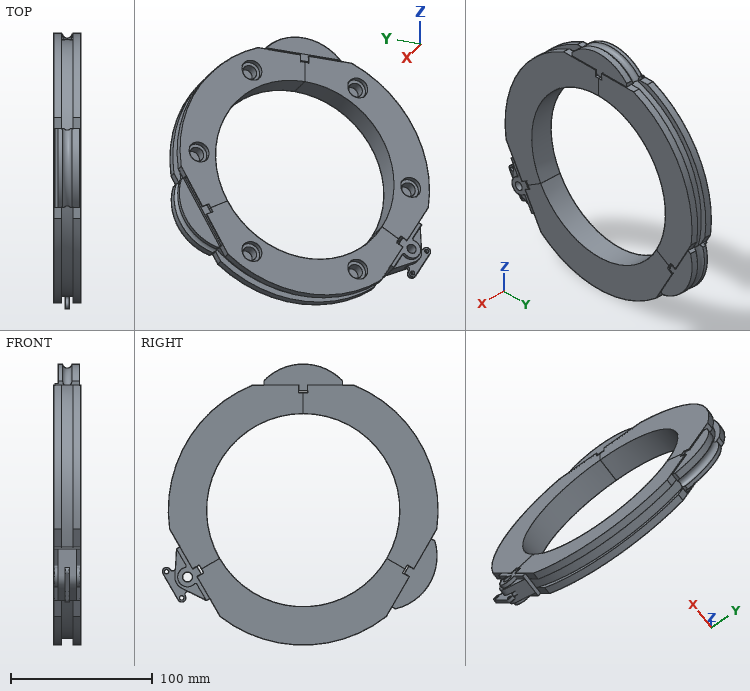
import cadquery as cq
import math

SEGMENT_COUNT = 3
SEGMENT_ANGLE = 360 / SEGMENT_COUNT
SEGMENT_HOLE_ANGLES = (-30.0, 30.0)

RING_THICKNESS = 19.0
RING_RADIUS = 95.0
BORE_RADIUS = 67.8
GROOVE_FLOOR_RADIUS = 90.4
GROOVE_WIDTH = 8.0
FLAT_HEIGHT = 88.0

BOLT_CIRCLE_RADIUS = 80.5
COUNTERBORE_DIAMETER = 15.0
COUNTERBORE_DEPTH = 4.0
BOLT_HOLE_DIAMETER = 10.3
BOLT_HOLE_DEPTH = 11.9

KEYWAY_WIDTH = 6.3
KEYWAY_DEPTH = 5.3
KEY_WIDTH = 6.1

PAD_THICKNESS = 17.5
PAD_WIDTH = 55.4
PAD_TOP = 102.9
PAD_END_HEIGHT = 3.0
PAD_KEY_LENGTH = 4.2
PAD_STEP_HEIGHT = 1.2
PAD_STEP_DEPTH = 2.4
PAD_GROOVE_RADIUS = 3.4
PAD_GROOVE_DEPTH = 2.8

BRACKET_THICKNESS = 18.4
BRACKET_WIDTH = 42.1
BRACKET_BASE_HEIGHT = 2.8
BRACKET_KEY_LENGTH = 3.5
PIVOT_HEIGHT = 94.0
PIVOT_DIAMETER = 6.7
BOSS_RADIUS = 7.0
BOSS_FILLET = 1.0
WEB_TIP_RADIUS = 8.9
WEB_THICKNESS = 12.7
LUG_THICKNESS = 3.0
LUG_HEIGHT = 104.8
LUG_OFFSET = 10.7
LUG_RADIUS = 3.0
LUG_HOLE_DIAMETER = 3.0
LUG_NECK_FILLET = 2.0


def plate(sketch, thickness):
    """Extrude a YZ outline symmetrically about the middle plane X = 0."""
    return sketch.extrude(thickness / 2, both=True)


def block(width, bottom, top, thickness):
    """Box centred on the radial Z axis, between two radial heights."""
    centre = (0, 0, (bottom + top) / 2)
    return cq.Workplane("XY").box(thickness, width, top - bottom).translate(centre)


def turn(body, angle):
    """Turn a body about the ring axis."""
    return body.rotate((0, 0, 0), (1, 0, 0), angle)


def grooved_ring():
    ring = plate(cq.Workplane("YZ").circle(RING_RADIUS).circle(BORE_RADIUS), RING_THICKNESS)
    groove = plate(cq.Workplane("YZ").circle(RING_RADIUS).circle(GROOVE_FLOOR_RADIUS), GROOVE_WIDTH)
    return ring.cut(groove)


def joint_cut():
    """Material removed at a joint: the flat and the keyway below it."""
    flat = block(2 * RING_RADIUS, FLAT_HEIGHT, RING_RADIUS, RING_THICKNESS)
    keyway = block(KEYWAY_WIDTH, FLAT_HEIGHT - KEYWAY_DEPTH, FLAT_HEIGHT, RING_THICKNESS)
    return flat.union(keyway)


def sector():
    """Wedge centred on +Z that spans one segment."""
    half_angle = math.radians(SEGMENT_ANGLE / 2)
    reach = 2 * RING_RADIUS
    side = reach * math.sin(half_angle)
    height = reach * math.cos(half_angle)
    outline = cq.Workplane("YZ").polyline([(0, 0), (side, height), (0, reach), (-side, height)]).close()
    return plate(outline, RING_THICKNESS)


def bolt_hole():
    """Blind counterbored hole entering from the -X face."""
    face = cq.Workplane("YZ", origin=(-RING_THICKNESS / 2, 0, BOLT_CIRCLE_RADIUS))
    counterbore = face.circle(COUNTERBORE_DIAMETER / 2).extrude(COUNTERBORE_DEPTH)
    hole = face.circle(BOLT_HOLE_DIAMETER / 2).extrude(BOLT_HOLE_DEPTH)
    return counterbore.union(hole)


def ring_segment():
    segment = grooved_ring().intersect(sector())
    for side in (-1, 1):
        segment = segment.cut(turn(joint_cut(), side * SEGMENT_ANGLE / 2))
    for angle in SEGMENT_HOLE_ANGLES:
        segment = segment.cut(turn(bolt_hole(), angle))
    return segment


def pad():
    half_width = PAD_WIDTH / 2
    end_top = FLAT_HEIGHT + PAD_END_HEIGHT
    rise = PAD_TOP - end_top
    crown_radius = (half_width**2 + rise**2) / (2 * rise)
    crown_centre = PAD_TOP - crown_radius

    outline = (
        cq.Workplane("YZ")
        .moveTo(-half_width, FLAT_HEIGHT)
        .lineTo(-half_width, end_top)
        .threePointArc((0, PAD_TOP), (half_width, end_top))
        .lineTo(half_width, FLAT_HEIGHT)
        .close()
    )
    body = plate(outline, PAD_THICKNESS)

    step = block(PAD_WIDTH, FLAT_HEIGHT + PAD_STEP_HEIGHT, PAD_TOP, PAD_STEP_DEPTH)
    body = body.cut(step.translate(((PAD_STEP_DEPTH - PAD_THICKNESS) / 2, 0, 0)))

    groove_path_radius = crown_radius - PAD_GROOVE_DEPTH + PAD_GROOVE_RADIUS
    groove = cq.Solid.makeTorus(
        groove_path_radius, PAD_GROOVE_RADIUS, cq.Vector(0, 0, crown_centre), cq.Vector(1, 0, 0)
    )
    body = body.cut(cq.Workplane(groove))

    key = block(KEY_WIDTH, FLAT_HEIGHT - PAD_KEY_LENGTH, FLAT_HEIGHT, PAD_THICKNESS)
    return body.union(key)


def web_side_angle(base_top):
    """Angle from +Z to the normal of a web side, which runs from a base corner tangent to the tip."""
    half_width = BRACKET_WIDTH / 2
    drop = PIVOT_HEIGHT - base_top
    corner_angle = math.pi / 2 + math.atan2(drop, half_width)
    return corner_angle - math.acos(WEB_TIP_RADIUS / math.hypot(half_width, drop))


def bracket_web(base_top):
    """Triangular web whose sides are tangent to its rounded tip."""
    half_width = BRACKET_WIDTH / 2
    tangent_angle = web_side_angle(base_top)
    tangent_y = WEB_TIP_RADIUS * math.sin(tangent_angle)
    tangent_z = PIVOT_HEIGHT + WEB_TIP_RADIUS * math.cos(tangent_angle)
    outline = (
        cq.Workplane("YZ")
        .moveTo(-half_width, base_top)
        .lineTo(-tangent_y, tangent_z)
        .threePointArc((0, PIVOT_HEIGHT + WEB_TIP_RADIUS), (tangent_y, tangent_z))
        .lineTo(half_width, base_top)
        .close()
    )
    return plate(outline, WEB_THICKNESS)


def bracket_boss(base_top):
    """Base plate and full-width pivot boss, filleted where they meet."""
    base = block(BRACKET_WIDTH, FLAT_HEIGHT, base_top, BRACKET_THICKNESS)
    boss = plate(cq.Workplane("YZ").center(0, PIVOT_HEIGHT).circle(BOSS_RADIUS), BRACKET_THICKNESS)
    below_flat = block(2 * BOSS_RADIUS, FLAT_HEIGHT - BOSS_RADIUS, FLAT_HEIGHT, BRACKET_THICKNESS)
    body = base.union(boss.cut(below_flat))
    corner = math.sqrt(BOSS_RADIUS**2 - (PIVOT_HEIGHT - base_top) ** 2)
    for side in (-1, 1):
        body = body.edges(cq.NearestToPointSelector((0, side * corner, base_top))).fillet(BOSS_FILLET)
    return body


def bracket_lugs(base_top):
    """Thin plate that carries two holed lugs beyond the web tip."""
    angle = web_side_angle(base_top)
    normal = cq.Vector(math.sin(angle), math.cos(angle), 0)
    along = cq.Vector(math.cos(angle), -math.sin(angle), 0)

    pivot = cq.Vector(0, PIVOT_HEIGHT, 0)
    lug = cq.Vector(LUG_OFFSET, LUG_HEIGHT, 0)
    across = (lug - pivot).dot(normal) - WEB_TIP_RADIUS - LUG_NECK_FILLET
    slide = math.sqrt((LUG_RADIUS + LUG_NECK_FILLET) ** 2 - across**2)
    fillet = lug - normal * across + along * slide
    to_lug = (lug - fillet).normalized()
    web_point = fillet - normal * LUG_NECK_FILLET
    fillet_middle = fillet + (to_lug - normal).normalized() * LUG_NECK_FILLET
    lug_point = fillet + to_lug * LUG_NECK_FILLET
    lug_middle = lug + (cq.Vector(0, 1, 0) - to_lug).normalized() * LUG_RADIUS
    lug_top = lug + cq.Vector(0, LUG_RADIUS, 0)

    def right(point):
        return (point.x, point.y)

    def left(point):
        return (-point.x, point.y)

    outline = (
        cq.Workplane("YZ")
        .moveTo(*right(pivot))
        .lineTo(*right(web_point))
        .threePointArc(right(fillet_middle), right(lug_point))
        .threePointArc(right(lug_middle), right(lug_top))
        .lineTo(*left(lug_top))
        .threePointArc(left(lug_middle), left(lug_point))
        .threePointArc(left(fillet_middle), left(web_point))
        .close()
    )
    centres = [(-LUG_OFFSET, LUG_HEIGHT), (LUG_OFFSET, LUG_HEIGHT)]
    holes = cq.Workplane("YZ").pushPoints(centres).circle(LUG_HOLE_DIAMETER / 2)
    return plate(outline, LUG_THICKNESS).cut(plate(holes, LUG_THICKNESS))


def bracket():
    base_top = FLAT_HEIGHT + BRACKET_BASE_HEIGHT
    key = block(KEY_WIDTH, FLAT_HEIGHT - BRACKET_KEY_LENGTH, FLAT_HEIGHT, BRACKET_THICKNESS)
    body = bracket_boss(base_top).union(bracket_web(base_top)).union(bracket_lugs(base_top)).union(key)
    pivot = cq.Workplane("YZ").center(0, PIVOT_HEIGHT).circle(PIVOT_DIAMETER / 2)
    return body.cut(plate(pivot, BRACKET_THICKNESS))


segments = []
for index in range(SEGMENT_COUNT):
    segments.append(turn(ring_segment(), SEGMENT_ANGLE * (index + 0.5)))
pads = []
for angle in (0, -SEGMENT_ANGLE):
    pads.append(turn(pad(), angle))
pivot_bracket = turn(bracket(), SEGMENT_ANGLE)

bodies = [*segments, *pads, pivot_bracket]
result = cq.Compound.makeCompound([body.val() for body in bodies])